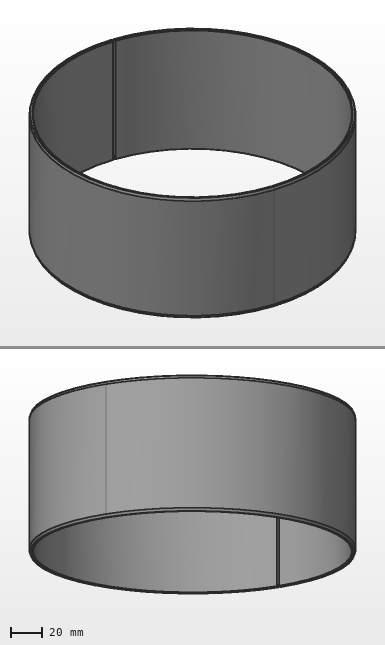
import cadquery as cq

outer_diameter = 210.0
height = 90.0
wall = 2.5
gap_width = 1.7
outer_chamfer_height = 1.9
outer_chamfer_depth = 0.7
inner_chamfer = 0.52

outer_radius = outer_diameter / 2
inner_radius = outer_radius - wall
outer_rim_radius = outer_radius - outer_chamfer_depth
inner_rim_radius = inner_radius + inner_chamfer
half_height = height / 2
outer_shoulder_height = half_height - outer_chamfer_height
inner_shoulder_height = half_height - inner_chamfer


def make_band():
    """Thin ring about Z with its inner and outer edges chamfered at both ends."""
    wall_section = [
        (inner_radius, -inner_shoulder_height),
        (inner_rim_radius, -half_height),
        (outer_rim_radius, -half_height),
        (outer_radius, -outer_shoulder_height),
        (outer_radius, outer_shoulder_height),
        (outer_rim_radius, half_height),
        (inner_rim_radius, half_height),
        (inner_radius, inner_shoulder_height),
    ]
    section = cq.Workplane("XZ").polyline(wall_section).close()
    return section.revolve(360, (0, 0, 0), (0, 1, 0))


def make_gap():
    """Straight cutter that splits the ring on its -X side, from the XZ plane toward +Y."""
    cutter = cq.Workplane("XY").box(outer_diameter, gap_width, height)
    return cutter.translate((-outer_radius, gap_width / 2, 0))


result = make_band().cut(make_gap())